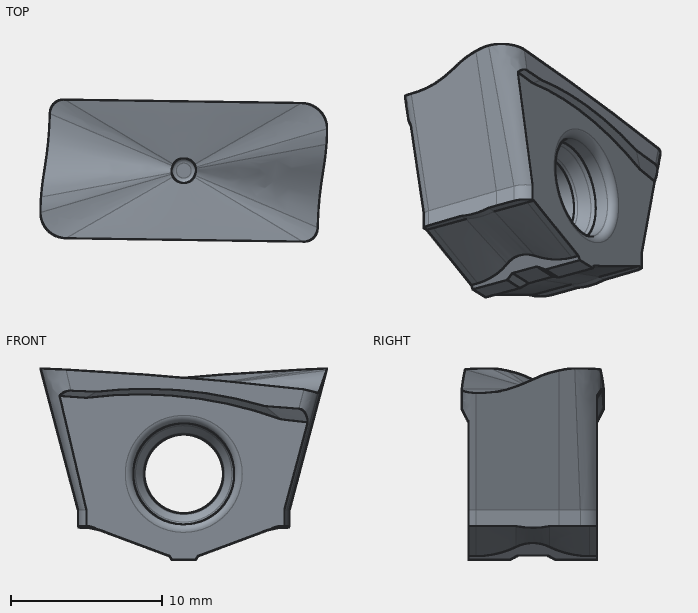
import cadquery as cq
import math


TOP_Z = 12.65
TOP_HALF_LENGTH = 9.47
FOOT_Z = 3.3
FOOT_HALF_LENGTH = 6.99
SIDE_HALF_WIDTH = 4.58
SIDE_SKEW = 1.2 / 84
CORE_HALF_WIDTH = 4.25
KINK_Y = 1.75
TILT_END_Y = 3.73
WALL_SETBACK = 0.19
BIG_RADIUS_TOP = 1.7
BIG_RADIUS_FOOT = 1.36
SMALL_RADIUS = 0.97

APEX_Z = 11.3
EDGE_MID_Z = 12.05
EDGE_LOW_Z = 11.27
WALL_LOW_Z = 11.02
BIG_CORNER_DROP = 0.08
SMALL_CORNER_SAG = 0.04
KINK_Z = 12.52
KINK_SLOPE = 0.2
WALL_MID_Z = 11.91
WALL_HOLLOW_Y = 1.7
WALL_HOLLOW_Z = 11.25
RAKE_INNER_SCALE = 0.02
RAKE_OUTER_SCALE = 1.2
DIMPLE_RADIUS = 0.81
DIMPLE_FLOOR_RADIUS = 0.5
DIMPLE_FLOOR_Z = 11.08

LEDGE_END_X = 10.42
LEDGE_REACH = 0.57
LEDGE_INNER_KNEE_X = 6.44
LEDGE_INNER_HEIGHTS = (10.99, 10.7, 10.78, 9.28, 8.83)
LEDGE_OUTER_KNEE_X = 4.96
LEDGE_OUTER_HEIGHTS = (11.91, 11.6, 11.45, 10.47, 9.92)

SHELF_X = 6.29
SHELF_Z = 2.23
SHELF_DIP = 0.11
KEEL_BOTTOM_X = 0.78
KEEL_TOP_X = 0.95
KEEL_TOP_Z = 0.25
GROOVE_FLANK_Y = 1.12
GROOVE_FLANK_RISE = 0.6
GROOVE_RISE = 0.87
NOTCH_OUTER_Y = 1.52
NOTCH_INNER_Y = 0.97
NOTCH_DEPTH = 0.28

HOLE_Z = 5.68
MOUTH_RADIUS = 3.86
HEAD_RADIUS = 3.33
BORE_RADIUS = 2.6
HEAD_DEPTH = 1.45
SEAT_START = (3.18, 1.75)
SEAT_END = (2.69, 2.46)
BORE_DEPTH = 2.69

CLEAR = 1.9


def half_turn(shape):
    return shape.rotate(cq.Vector(0, 0, 0), cq.Vector(0, 0, 1), 180)


def cut_both_ends(body, cutter):
    return body.cut(cutter).cut(half_turn(cutter))



def side_y(x):
    return -SIDE_HALF_WIDTH - SIDE_SKEW * x


def tilted_wall_x(half_length, y):
    """Position of the tilted part of the +X end wall."""
    return half_length - WALL_SETBACK * (KINK_Y - y) / (KINK_Y + TILT_END_Y)


def rounded(before, corner, after, radius):
    """Start, middle and end of the arc that rounds a corner."""
    to_before = (before - corner).normalized()
    to_after = (after - corner).normalized()
    half_angle = to_before.getAngle(to_after) / 2
    reach = radius / math.tan(half_angle)
    bisector = (to_before + to_after).normalized()
    middle = corner + bisector * (radius / math.sin(half_angle) - radius)
    return corner + to_before * reach, middle, corner + to_after * reach


def front_corners(half_length, big_radius):
    """Arcs of the big (-X) and the small (+X) corner on the -Y side."""
    kink = cq.Vector(-half_length, -KINK_Y, 0)
    far_kink = cq.Vector(half_length, KINK_Y, 0)
    big = cq.Vector(-half_length, side_y(-half_length), 0)
    small_x = tilted_wall_x(half_length, -SIDE_HALF_WIDTH)
    small = cq.Vector(small_x, side_y(small_x), 0)
    return rounded(kink, big, small, big_radius), rounded(big, small, far_kink, SMALL_RADIUS)


def outline(half_length, big_radius, z):
    kink = cq.Vector(-half_length, -KINK_Y, 0)
    big, small = front_corners(half_length, big_radius)
    half = [
        cq.Edge.makeLine(kink, big[0]),
        cq.Edge.makeThreePointArc(*big),
        cq.Edge.makeLine(big[2], small[0]),
        cq.Edge.makeThreePointArc(*small),
        cq.Edge.makeLine(small[2], -kink),
    ]
    edges = half + [half_turn(edge) for edge in half]
    return cq.Wire.assembleEdges(edges).translate(cq.Vector(0, 0, z))


def blank():
    foot = outline(FOOT_HALF_LENGTH, BIG_RADIUS_FOOT, FOOT_Z)
    top = outline(TOP_HALF_LENGTH, BIG_RADIUS_TOP, TOP_Z)
    tapered = cq.Solid.makeLoft([foot, top], True)
    upright = cq.Solid.extrudeLinear(foot, [], cq.Vector(0, 0, -FOOT_Z))
    return cq.Workplane(tapered).union(cq.Workplane(upright))



def half_length_at(z):
    taper = (TOP_HALF_LENGTH - FOOT_HALF_LENGTH) / (TOP_Z - FOOT_Z)
    return TOP_HALF_LENGTH - taper * (TOP_Z - z)


def lifted(point, z):
    return cq.Vector(point.x, point.y, z)


def on_tilted_wall(y, z):
    return cq.Vector(tilted_wall_x(half_length_at(z), y), y, z)


def rim_edges():
    """Upper edge of the part along the -Y side and up the +X end wall."""
    big, _ = front_corners(TOP_HALF_LENGTH, BIG_RADIUS_TOP)
    _, small = front_corners(half_length_at(WALL_LOW_Z), BIG_RADIUS_TOP)
    big_start = lifted(big[0], TOP_Z)
    big_mid = lifted(big[1], TOP_Z - BIG_CORNER_DROP * (1 - math.sqrt(0.5)))
    big_end = lifted(big[2], TOP_Z - BIG_CORNER_DROP)
    small_start = lifted(small[0], EDGE_LOW_Z)
    small_end = lifted(small[2], WALL_LOW_Z)
    small_mid = lifted(small[1], (EDGE_LOW_Z + WALL_LOW_Z) / 2 - SMALL_CORNER_SAG)
    wall_points = [
        small_end,
        on_tilted_wall(-WALL_HOLLOW_Y, WALL_HOLLOW_Z),
        on_tilted_wall(0, WALL_MID_Z),
        on_tilted_wall(KINK_Y, KINK_Z),
    ]
    wall_top = cq.Vector(-big_start.x, -big_start.y, TOP_Z)
    level = cq.Vector(0, 1, 0)
    climbing = cq.Vector(0, 1, KINK_SLOPE)
    return [
        cq.Edge.makeThreePointArc(big_start, big_mid, big_end),
        cq.Edge.makeThreePointArc(big_end, cq.Vector(0, side_y(0), EDGE_MID_Z), small_start),
        cq.Edge.makeThreePointArc(small_start, small_mid, small_end),
        cq.Edge.makeSpline(wall_points, tangents=[level, climbing]),
        cq.Edge.makeSpline([wall_points[-1], wall_top], tangents=[climbing, level]),
    ]


def scaled_about_apex(edge, factor):
    apex = cq.Vector(0, 0, APEX_Z)
    return edge.translate(-apex).scale(factor).translate(apex)


def cut_rake(body):
    """Straight rulings run from every point of the upper edge to one apex on the axis."""
    for edge in rim_edges():
        inner = scaled_about_apex(edge, RAKE_INNER_SCALE)
        outer = scaled_about_apex(edge, RAKE_OUTER_SCALE)
        sector = cq.Face.makeRuledSurface(inner, outer)
        body = cut_both_ends(body, cq.Solid.extrudeLinear(sector, cq.Vector(0, 0, 2 * CLEAR)))
    return body


def dimple():
    bowl_height = DIMPLE_RADIUS - DIMPLE_FLOOR_RADIUS
    profile = (
        cq.Workplane("XZ")
        .moveTo(0, DIMPLE_FLOOR_Z)
        .lineTo(DIMPLE_FLOOR_RADIUS, DIMPLE_FLOOR_Z)
        .radiusArc((DIMPLE_RADIUS, DIMPLE_FLOOR_Z + bowl_height), -bowl_height)
        .lineTo(DIMPLE_RADIUS, TOP_Z)
        .lineTo(0, TOP_Z)
        .close()
    )
    return profile.revolve(360, (0, 0, 0), (0, 1, 0))



def ledge_profile(y, knee_x, heights):
    start_z, first_knee_z, mid_z, second_knee_z, end_z = heights
    return (
        cq.Workplane("XZ", origin=(0, y, 0))
        .moveTo(-LEDGE_END_X, -CLEAR)
        .lineTo(-LEDGE_END_X, start_z)
        .lineTo(-knee_x, first_knee_z)
        .threePointArc((0, mid_z), (knee_x, second_knee_z))
        .lineTo(LEDGE_END_X, end_z)
        .lineTo(LEDGE_END_X, -CLEAR)
        .close()
        .val()
    )


def ledge_cutter():
    """Clears the -Y side down to the core face; its upper surface is the sloping ledge."""
    inner = ledge_profile(-CORE_HALF_WIDTH, LEDGE_INNER_KNEE_X, LEDGE_INNER_HEIGHTS)
    outer = ledge_profile(-CORE_HALF_WIDTH - LEDGE_REACH, LEDGE_OUTER_KNEE_X, LEDGE_OUTER_HEIGHTS)
    return cq.Solid.makeLoft([inner, outer], True)



def section(place, flat_z, flank_rise, rise):
    """Closed outline across the width, flat outside and curved between the flats.

    place(y, z) sets a point in the plane of the section; the outline reaches below the part.
    """
    half_width = SIDE_HALF_WIDTH + CLEAR
    flat_y = TILT_END_Y
    flank_mid_y = (flat_y + GROOVE_FLANK_Y) / 2
    flank_mid_z = flat_z + flank_rise / 4
    flank_z = flat_z + flank_rise
    corners = [place(-half_width, flat_z), place(-half_width, -CLEAR),
               place(half_width, -CLEAR), place(half_width, flat_z)]
    left = [place(-flat_y, flat_z), place(-flank_mid_y, flank_mid_z), place(-GROOVE_FLANK_Y, flank_z)]
    right = [place(GROOVE_FLANK_Y, flank_z), place(flank_mid_y, flank_mid_z), place(flat_y, flat_z)]
    crown = place(0, flat_z + rise)

    def flank(points):
        if flank_rise == 0:
            return cq.Edge.makeLine(points[0], points[2])
        return cq.Edge.makeThreePointArc(*points)

    return cq.Wire.assembleEdges([
        cq.Edge.makeLine(corners[0], left[0]),
        flank(left),
        cq.Edge.makeThreePointArc(left[2], crown, right[0]),
        flank(right),
        cq.Edge.makeLine(right[2], corners[3]),
        cq.Edge.makeLine(corners[3], corners[2]),
        cq.Edge.makeLine(corners[2], corners[1]),
        cq.Edge.makeLine(corners[1], corners[0]),
    ])


def on_keel(y, z):
    lean = (KEEL_TOP_X - KEEL_BOTTOM_X) / KEEL_TOP_Z
    return cq.Vector(-KEEL_BOTTOM_X - lean * z, y, z)


def on_shelf(y, z):
    return cq.Vector(-SHELF_X, y, z)


def cut_underside(body):
    keel = section(on_keel, KEEL_TOP_Z, GROOVE_FLANK_RISE, GROOVE_RISE)
    shelf = section(on_shelf, SHELF_Z, 0, -SHELF_DIP)
    slope = cq.Solid.makeLoft([keel, shelf], True)
    end = cq.Solid.extrudeLinear(shelf, [], cq.Vector(-CLEAR, 0, 0))
    return cut_both_ends(cut_both_ends(body, slope), end)


def keel_notch():
    profile = cq.Workplane("YZ").polyline([
        (-NOTCH_OUTER_Y, 0), (-NOTCH_INNER_Y, NOTCH_DEPTH),
        (NOTCH_INNER_Y, NOTCH_DEPTH), (NOTCH_OUTER_Y, 0),
    ]).close()
    return profile.extrude(CLEAR, both=True)



def screw_hole():
    """Through hole along Y with the same screw seat at both mouths."""
    lip = MOUTH_RADIUS - HEAD_RADIUS

    def at(radius, depth):
        return radius, depth - CORE_HALF_WIDTH

    half = (
        cq.Workplane("XY")
        .moveTo(*at(0, 0))
        .lineTo(*at(MOUTH_RADIUS, 0))
        .radiusArc(at(HEAD_RADIUS, lip), lip)
        .lineTo(*at(HEAD_RADIUS, HEAD_DEPTH))
        .lineTo(*at(*SEAT_START))
        .lineTo(*at(*SEAT_END))
        .lineTo(*at(BORE_RADIUS, BORE_DEPTH))
        .lineTo(BORE_RADIUS, 0)
        .lineTo(0, 0)
        .close()
        .revolve(360, (0, 0, 0), (0, 1, 0))
        .translate((0, 0, HOLE_Z))
    )
    return half.union(half.rotate((0, 0, 0), (0, 0, 1), 180))



body = blank()
body = cut_both_ends(body, ledge_cutter())
body = cut_underside(body)
body = body.cut(keel_notch())
body = body.cut(screw_hole())
body = cut_rake(body)
result = body.cut(dimple())